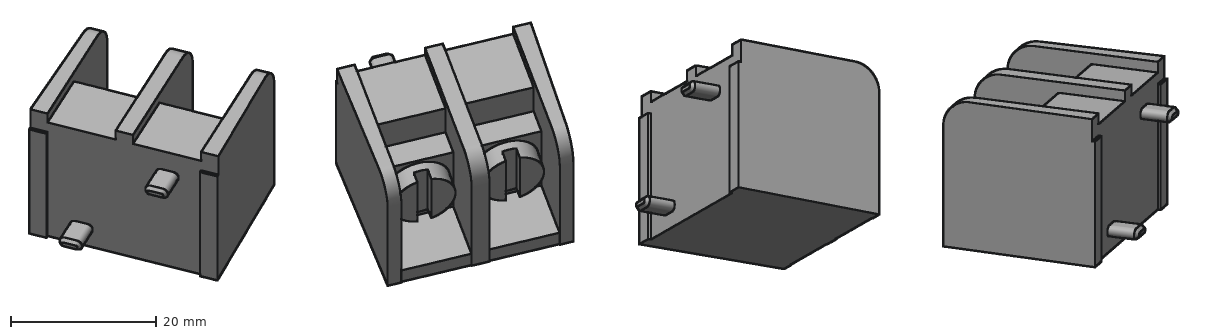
import cadquery as cq
import math

WIDTH = 27.95
HEIGHT = 21.6
DEPTH = 22.18
SIDE_DRAFT = 1.5
BARRIER = 2.57
CORNER_RADIUS = 3.9

FOOT_DEPTH = 0.42
FOOT_HEIGHT = 18.35

SHOULDER_HEIGHT = 20.03
SHOULDER_DEPTH = 9.78
SEAT_HEIGHT = 14.7
SEAT_DEPTH = 13.45
FLOOR_HEIGHT = 2.57
FLOOR_SETBACK = 0.1

PITCH = 12.75
POLE_X = (-PITCH / 2, PITCH / 2)
PIN_Z = (3.1, 16.05)
PIN_LENGTH = 4.5
PIN_WIDTH = 3.35
PIN_THICKNESS = 1.6
PIN_TIP_LENGTH = 0.55
PIN_TIP_INSET = 0.47

SCREW_Z = sum(PIN_Z) / 2
HEAD_BASE_DIAMETER = 9.2
HEAD_TOP_DIAMETER = 9.0
HEAD_LENGTH = 3.02
SLOT_WIDTH = 2.0
SLOT_DEPTH = 1.68

BAY_WIDTH = (WIDTH - 3 * BARRIER) / 2
BAY_X = (BAY_WIDTH + BARRIER) / 2


def box(x_center, width, y_start, y_end, z_start, z_end):
    """Block centred on x_center, spanning the given Y and Z ranges."""
    size = (width, y_end - y_start, z_end - z_start)
    return cq.Workplane("XY").box(*size, centered=(True, False, False)).translate((x_center, y_start, z_start))


def make_envelope():
    """Drafted outer block with rounded upper wire-side corner and feet."""
    half_front = WIDTH / 2
    half_back = half_front - (DEPTH + FOOT_DEPTH) * math.tan(math.radians(SIDE_DRAFT))
    plan = [(-half_front, -FOOT_DEPTH), (half_front, -FOOT_DEPTH), (half_back, DEPTH), (-half_back, DEPTH)]
    block = cq.Workplane("XY").polyline(plan).close().extrude(HEIGHT)

    profile = (
        cq.Workplane("YZ")
        .moveTo(-FOOT_DEPTH, 0)
        .lineTo(DEPTH, 0)
        .lineTo(DEPTH, HEIGHT - CORNER_RADIUS)
        .radiusArc((DEPTH - CORNER_RADIUS, HEIGHT), -CORNER_RADIUS)
        .lineTo(0, HEIGHT)
        .lineTo(0, FOOT_HEIGHT)
        .lineTo(-FOOT_DEPTH, FOOT_HEIGHT)
        .close()
        .extrude(WIDTH / 2, both=True)
    )
    between_feet = box(0, WIDTH - 2 * BARRIER, -FOOT_DEPTH, 0, 0, HEIGHT)
    return block.intersect(profile).cut(between_feet)


def make_bay(x_center):
    """Stepped opening above the shoulder, screw seat and floor."""
    opening = box(x_center, BAY_WIDTH, 0, DEPTH, SHOULDER_HEIGHT, HEIGHT)
    opening = opening.union(box(x_center, BAY_WIDTH, SHOULDER_DEPTH, DEPTH, SEAT_HEIGHT, HEIGHT))
    opening = opening.union(box(x_center, BAY_WIDTH, SEAT_DEPTH, DEPTH, FLOOR_HEIGHT, HEIGHT))
    return opening.union(box(x_center, BAY_WIDTH, DEPTH - FLOOR_SETBACK, DEPTH, 0, HEIGHT))


def make_screw(x_center):
    """Slightly tapered slotted head standing on the seat wall."""
    head_end = SEAT_DEPTH + HEAD_LENGTH
    head = (
        cq.Workplane("XZ", origin=(x_center, SEAT_DEPTH, SCREW_Z))
        .circle(HEAD_BASE_DIAMETER / 2)
        .workplane(offset=-HEAD_LENGTH)
        .circle(HEAD_TOP_DIAMETER / 2)
        .loft()
    )
    slot = box(x_center, SLOT_WIDTH, head_end - SLOT_DEPTH, head_end, 0, HEIGHT)
    return head.cut(slot)


def make_pin(x_center, z_center):
    """Flat round-sided solder pin with a bevelled tip."""
    tip_taper = math.degrees(math.atan(PIN_TIP_INSET / PIN_TIP_LENGTH))
    shank_length = PIN_LENGTH - PIN_TIP_LENGTH
    shank = (
        cq.Workplane("XZ", origin=(x_center, 0, z_center))
        .slot2D(PIN_WIDTH, PIN_THICKNESS)
        .extrude(shank_length)
    )
    tip = (
        cq.Workplane("XZ", origin=(x_center, -shank_length, z_center))
        .slot2D(PIN_WIDTH, PIN_THICKNESS)
        .extrude(PIN_TIP_LENGTH, taper=tip_taper)
    )
    return shank.union(tip)


result = make_envelope()
for bay_x in (-BAY_X, BAY_X):
    result = result.cut(make_bay(bay_x))
for pole_x, pin_z in zip(POLE_X, PIN_Z):
    result = result.union(make_screw(pole_x))
    result = result.union(make_pin(pole_x, pin_z))